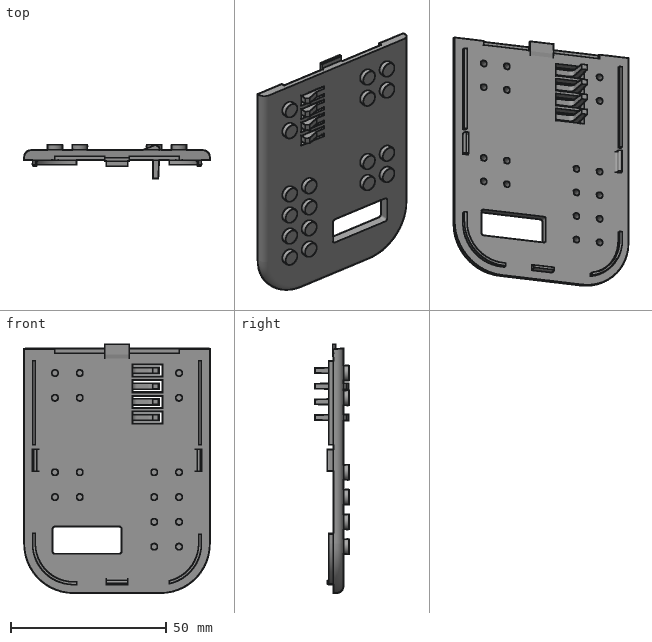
import cadquery as cq
import math


plate_width = 59.98
plate_height = 79.0
plate_thickness = 3.3
corner_radius = 16.0
back_edge_radius = 2.4
top_edge_drop = 0.3
half_width = plate_width / 2
corner_x = half_width - corner_radius

recess_half_width = 20.0
recess_depth = 1.25
recess_bottom = 77.3
tab_half_width = 4.0
tab_top = 80.34
tab_step = 77.0
tab_bottom = 75.7
tab_front = -0.25
tab_back = 0.75

window_width = 22.2
window_height = 8.75
window_center_x = -9.65
window_center_z = 17.1
window_corner_radius = 0.8

button_pitch = 8.0
button_height = 1.75
button_radius = 2.5
button_rim_height = 0.5
button_end_radius = 2.4
button_hole_radius = 1.03
button_hole_depth = 4.3
inner_column = 1.5 * button_pitch
outer_column = 2.5 * button_pitch
button_rows = [15.0 + button_pitch * step for step in (0, 1, 2, 3, 6, 7)]
button_columns = {
    -outer_column: button_rows[2:],
    -inner_column: button_rows[2:],
    inner_column: button_rows[:4],
    outer_column: button_rows,
}

rib_width = 0.9
rib_height = 1.5
rib_inset = 2.75
side_rib_bottom = 47.8
side_rib_top = 74.95
corner_rib_foot = 1.0
left_corner_rib_top = 19.4
right_corner_rib_top = 19.0
right_corner_rib_end = 16.8

clip_length = 7.0
clip_height = 2.0
clip_thickness = 1.35
clip_foot_radius = 0.6
clip_straight_height = 1.0
clip_ridge_outer = 0.4
clip_ridge_inner = 1.0
clip_hook_height = 1.5
side_clip_z = 42.9

arm_count = 4
arm_pitch = 5.05
top_arm_z = 71.8
slot_left = 4.9
slot_right = 14.75
slot_height = 4.1
slot_draft = 0.2
arm_front = 2.1
arm_height = 2.05
arm_fillet = 1.5
arm_end = 13.65
bump_start = 8.2
bump_peak_x = 12.4
bump_peak_height = 1.6
bump_end_height = 0.85
pin_left = 11.55
pin_length = 5.95
pin_tip_width = 1.8
pin_tip_height = 1.65


def box(x_min, x_max, y_min, y_max, z_min, z_max):
    size = (x_max - x_min, y_max - y_min, z_max - z_min)
    return cq.Workplane("XY").box(*size, centered=False).translate((x_min, y_min, z_min))


def make_plate():
    diagonal = corner_radius * math.sqrt(0.5)
    plate = (
        cq.Workplane("XZ")
        .moveTo(-half_width, plate_height)
        .lineTo(-half_width, corner_radius)
        .threePointArc((-corner_x - diagonal, corner_radius - diagonal), (-corner_x, 0))
        .lineTo(corner_x, 0)
        .threePointArc((corner_x + diagonal, corner_radius - diagonal), (half_width, corner_radius))
        .lineTo(half_width, plate_height)
        .close()
        .extrude(-plate_thickness)
    )
    plate = plate.edges(">Y").edges("not >Z").fillet(back_edge_radius)
    top_wedge = (
        cq.Workplane("YZ")
        .polyline([(0, plate_height - top_edge_drop), (plate_thickness, plate_height), (0, plate_height)])
        .close()
        .extrude(half_width, both=True)
    )
    return plate.cut(top_wedge)


def make_recess():
    """Shallow recess on both sides of the tab."""
    return box(-recess_half_width, recess_half_width, 0, recess_depth, recess_bottom, plate_height).cut(
        box(-tab_half_width, tab_half_width, 0, recess_depth, recess_bottom, plate_height)
    )


def make_tab():
    outline = [
        (tab_back, tab_bottom),
        (0, tab_bottom),
        (tab_front, tab_step),
        (tab_front, tab_top),
        (tab_back, tab_top),
    ]
    return cq.Workplane("YZ").polyline(outline).close().extrude(tab_half_width, both=True)


def make_window():
    return (
        cq.Workplane("XZ")
        .center(window_center_x, window_center_z)
        .rect(window_width, window_height)
        .extrude(-plate_thickness)
        .edges("|Y")
        .fillet(window_corner_radius)
    )


def make_button(x, z):
    """Round button on the back face, slightly narrower at its foot and at its end."""
    end = plate_thickness + button_height
    outline = [
        (0, plate_thickness),
        (button_end_radius, plate_thickness),
        (button_radius, end - button_rim_height),
        (button_end_radius, end),
        (0, end),
    ]
    button = cq.Workplane("XY").polyline(outline).close().revolve(360, (0, 0, 0), (0, 1, 0))
    return button.translate((x, 0, z))


def make_button_hole(x, z):
    return cq.Workplane("XZ", origin=(x, 0, z)).circle(button_hole_radius).extrude(-button_hole_depth)


def make_side_rib():
    outer_x = rib_inset - half_width
    return box(outer_x, outer_x + rib_width, -rib_height, 0, side_rib_bottom, side_rib_top)


def make_corner_rib(top):
    """Rib following the lower left corner of the plate."""
    outer_radius = corner_radius - rib_inset
    inner_radius = outer_radius - rib_width
    outer_diagonal = outer_radius * math.sqrt(0.5)
    inner_diagonal = inner_radius * math.sqrt(0.5)
    foot_x = corner_rib_foot - corner_x
    return (
        cq.Workplane("XZ")
        .moveTo(-corner_x - outer_radius, top)
        .lineTo(-corner_x - outer_radius, corner_radius)
        .threePointArc(
            (-corner_x - outer_diagonal, corner_radius - outer_diagonal),
            (-corner_x, corner_radius - outer_radius),
        )
        .lineTo(foot_x, corner_radius - outer_radius)
        .lineTo(foot_x, corner_radius - inner_radius)
        .lineTo(-corner_x, corner_radius - inner_radius)
        .threePointArc(
            (-corner_x - inner_diagonal, corner_radius - inner_diagonal),
            (-corner_x - inner_radius, corner_radius),
        )
        .lineTo(-corner_x - inner_radius, top)
        .close()
        .extrude(rib_height)
    )


def make_right_corner_rib():
    rib = make_corner_rib(right_corner_rib_top).mirror("YZ")
    return rib.intersect(
        box(right_corner_rib_end, half_width, -rib_height, 0, 0, right_corner_rib_top)
    )


def make_clip():
    """Clip with its outer face on X = 0, hooking toward +X and centred on Z."""
    ease = 1 - math.sqrt(0.5)
    outer_drop = clip_height - clip_straight_height
    hook_drop = clip_height - clip_hook_height
    hook_reach = clip_thickness - clip_ridge_inner
    return (
        cq.Workplane("XY")
        .moveTo(0, 0)
        .lineTo(0, -clip_straight_height)
        .threePointArc(
            (clip_ridge_outer * ease, ease * outer_drop - clip_height),
            (clip_ridge_outer, -clip_height),
        )
        .lineTo(clip_ridge_inner, -clip_height)
        .threePointArc(
            (clip_thickness - hook_reach * ease, ease * hook_drop - clip_height),
            (clip_thickness, -clip_hook_height),
        )
        .lineTo(clip_thickness, -clip_foot_radius)
        .threePointArc(
            (clip_thickness + clip_foot_radius * ease, -clip_foot_radius * ease),
            (clip_thickness + clip_foot_radius, 0),
        )
        .close()
        .extrude(clip_length / 2, both=True)
    )


def make_slot(z):
    """Slot through the plate, narrowing toward the back."""
    return (
        cq.Workplane("XZ")
        .center((slot_left + slot_right) / 2, z)
        .rect(slot_right - slot_left, slot_height)
        .extrude(-plate_thickness, taper=math.degrees(math.atan(slot_draft / plate_thickness)))
    )


def make_arm(z):
    """Spring arm rooted in the left wall of its slot, with a bump behind and a pin in front."""
    ease = arm_fillet * (1 - math.sqrt(0.5))
    fillet_top = arm_front - arm_fillet
    back_limit = plate_thickness + bump_peak_height
    arm = (
        cq.Workplane("XY", origin=(0, 0, z))
        .moveTo(slot_left, plate_thickness)
        .lineTo(slot_left, fillet_top)
        .threePointArc((slot_left + ease, arm_front - ease), (slot_left + arm_fillet, arm_front))
        .lineTo(pin_left - arm_fillet, arm_front)
        .threePointArc((pin_left - ease, arm_front - ease), (pin_left, fillet_top))
        .lineTo(pin_left, -pin_length)
        .lineTo(pin_left + pin_tip_width, -pin_length)
        .lineTo(arm_end, fillet_top)
        .lineTo(arm_end, plate_thickness + bump_end_height)
        .lineTo(bump_peak_x, back_limit)
        .lineTo(bump_start, plate_thickness)
        .close()
        .extrude(arm_height / 2, both=True)
    )
    side_outline = [
        (back_limit, z - arm_height / 2),
        (arm_front, z - arm_height / 2),
        (-pin_length, z - pin_tip_height / 2),
        (-pin_length, z + pin_tip_height / 2),
        (arm_front, z + arm_height / 2),
        (back_limit, z + arm_height / 2),
    ]
    side_shape = cq.Workplane("YZ").polyline(side_outline).close().extrude(slot_right)
    return arm.intersect(side_shape)


part = make_plate().cut(make_recess()).union(make_tab()).cut(make_window())

for column_x, rows in button_columns.items():
    for row_z in rows:
        part = part.union(make_button(column_x, row_z))
        part = part.cut(make_button_hole(column_x, row_z))

side_rib = make_side_rib()
part = part.union(side_rib).union(side_rib.mirror("YZ"))
part = part.union(make_corner_rib(left_corner_rib_top)).union(make_right_corner_rib())

clip = make_clip()
left_clip = clip.translate((rib_inset - half_width, 0, side_clip_z))
lower_clip = clip.rotate((0, 0, 0), (0, 1, 0), -90).translate((0, 0, rib_inset))
part = part.union(left_clip).union(left_clip.mirror("YZ")).union(lower_clip)

for index in range(arm_count):
    arm_z = top_arm_z - index * arm_pitch
    part = part.cut(make_slot(arm_z)).union(make_arm(arm_z))

result = part